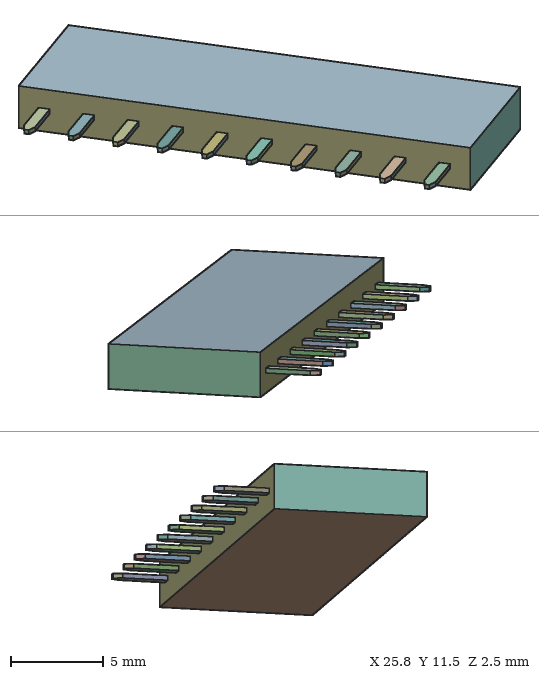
import cadquery as cq

length = 25.8
height = 2.5
overall_depth = 11.5
pin_reach = 3.0
housing_depth = overall_depth - pin_reach

pin_count = 10
pin_row_span = 22.85
pin_pitch = pin_row_span / (pin_count - 1)
pin_width = 0.65
pin_thickness = 0.25
tip_width = 0.25
tip_length = 0.5


def make_housing():
    """Block with its front face on the XZ plane, centred in X and Z."""
    return cq.Workplane("XY").box(length, housing_depth, height, centered=(True, False, True))


def make_pin(x_center):
    """Flat pin reaching forward from the housing, narrowing to a blunt tip."""
    half_width = pin_width / 2
    half_tip = tip_width / 2
    shoulder_y = tip_length - pin_reach
    return (
        cq.Workplane("XY", origin=(x_center, 0, 0))
        .moveTo(-half_width, 0)
        .lineTo(-half_width, shoulder_y)
        .lineTo(-half_tip, -pin_reach)
        .lineTo(half_tip, -pin_reach)
        .lineTo(half_width, shoulder_y)
        .lineTo(half_width, 0)
        .close()
        .extrude(pin_thickness / 2, both=True)
    )


result = make_housing()
for index in range(pin_count):
    result = result.union(make_pin(index * pin_pitch - pin_row_span / 2))